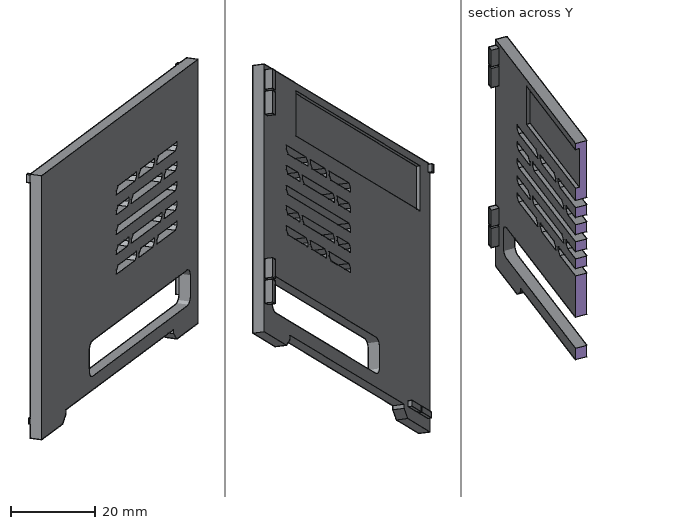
import cadquery as cq

plate_thickness = 3.0
plate_width = 93.0
plate_height = 66.5

foot_recess_start = 14.6
foot_recess_width = 63.8
foot_recess_height = 3.0
foot_chamfer = 2.0

window_start = 4.6
window_bottom = 6.45
window_width = 60.0
window_height = 9.0
window_radius = 2.0

pocket_start = 18.0
pocket_top_margin = 1.9
pocket_width = 69.4
pocket_height = 11.2
pocket_depth = 1.0

vent_start = 12.5
vent_top_margin = 16.83
vent_width = 36.0
vent_height = 2.0
vent_pitch = 5.0
vent_gap = 1.5
vent_chamfer = 1.0
outer_row_middle = 9.0
inner_row_middle = 18.0

tab_edge_offset = 0.5
tab_thickness = 1.5
tab_projection = 2.0
short_tab_length = 4.85
long_tab_length = 5.7
tab_gap = 0.5
tab_top_margin = 1.3
tab_pair_pitch = 46.9

rib_end_offset = 1.4
rib_bottom = 3.0
rib_thickness = 1.5
rib_projection = 1.0
short_rib_length = 5.1
long_rib_length = 5.35
rib_gap = 0.5

stub_edge_offset = 0.1
stub_thickness = 1.0
stub_top_margin = 0.25
stub_height = 2.0
stub_projection = 1.0


def block(x_start, x_size, y_start, y_size, z_start, z_size):
    """Box given by its lowest corner and its size along each axis."""
    corner = (x_start, y_start, z_start)
    return cq.Workplane("XY").box(x_size, y_size, z_size, centered=False).translate(corner)


def raised_block(projection, y_start, y_size, z_start, z_size):
    """Block standing on the inner face, pointing to -X."""
    return block(-projection, projection, y_start, y_size, z_start, z_size)


def plate_prism(outline):
    """Closed (Y, Z) outline extruded through the plate thickness."""
    return cq.Workplane("YZ").polyline(outline).close().extrude(plate_thickness)


def plate():
    recess_high_y = plate_width - foot_recess_start
    recess_low_y = recess_high_y - foot_recess_width
    return plate_prism([
        (0, 0),
        (recess_low_y - foot_chamfer, 0),
        (recess_low_y, foot_chamfer),
        (recess_low_y, foot_recess_height),
        (recess_high_y, foot_recess_height),
        (recess_high_y, foot_chamfer),
        (recess_high_y + foot_chamfer, 0),
        (plate_width, 0),
        (plate_width, plate_height),
        (0, plate_height),
    ])


def window():
    low_y = plate_width - window_start - window_width
    opening = block(0, plate_thickness, low_y, window_width, window_bottom, window_height)
    return opening.edges("|X").fillet(window_radius)


def pocket():
    low_y = plate_width - pocket_start - pocket_width
    bottom = plate_height - pocket_top_margin - pocket_height
    return block(0, pocket_depth, low_y, pocket_width, bottom, pocket_height)


def vent_slot(high_y, length, top):
    """Slot with its upper -Y corner and lower +Y corner cut off."""
    low_y = high_y - length
    bottom = top - vent_height
    return plate_prism([
        (high_y, top),
        (low_y + vent_chamfer, top),
        (low_y, top - vent_chamfer),
        (low_y, bottom),
        (high_y - vent_chamfer, bottom),
        (high_y, bottom + vent_chamfer),
    ])


def split_row(middle_length):
    """Lengths of a row of three slots that fills the vent width."""
    side_length = (vent_width - middle_length) / 2 - vent_gap
    return [side_length, middle_length, side_length]


def vents():
    outer_row = split_row(outer_row_middle)
    inner_row = split_row(inner_row_middle)
    rows = [outer_row, inner_row, [vent_width], inner_row, outer_row]
    slots = cq.Workplane("YZ")
    for row_index, lengths in enumerate(rows):
        top = plate_height - vent_top_margin - row_index * vent_pitch
        high_y = plate_width - vent_start
        for length in lengths:
            slots = slots.add(vent_slot(high_y, length, top))
            high_y -= length + vent_gap
    return slots.combine()


def tab_pair(top):
    low_y = plate_width - tab_edge_offset - tab_thickness
    short_bottom = top - short_tab_length
    long_bottom = short_bottom - tab_gap - long_tab_length
    short_tab = raised_block(tab_projection, low_y, tab_thickness, short_bottom, short_tab_length)
    long_tab = raised_block(tab_projection, low_y, tab_thickness, long_bottom, long_tab_length)
    return short_tab.add(long_tab).combine()


def split_rib():
    short_rib_start = rib_end_offset + long_rib_length + rib_gap
    long_rib = raised_block(rib_projection, rib_end_offset, long_rib_length, rib_bottom, rib_thickness)
    short_rib = raised_block(rib_projection, short_rib_start, short_rib_length, rib_bottom, rib_thickness)
    return long_rib.add(short_rib).combine()


def corner_stub():
    bottom = plate_height - stub_top_margin - stub_height
    return raised_block(stub_projection, stub_edge_offset, stub_thickness, bottom, stub_height)


upper_tabs_top = plate_height - tab_top_margin
lower_tabs_top = upper_tabs_top - tab_pair_pitch

result = plate().cut(window()).cut(pocket()).cut(vents())
for tabs_top in (upper_tabs_top, lower_tabs_top):
    result = result.union(tab_pair(tabs_top))
result = result.union(split_rib()).union(corner_stub())